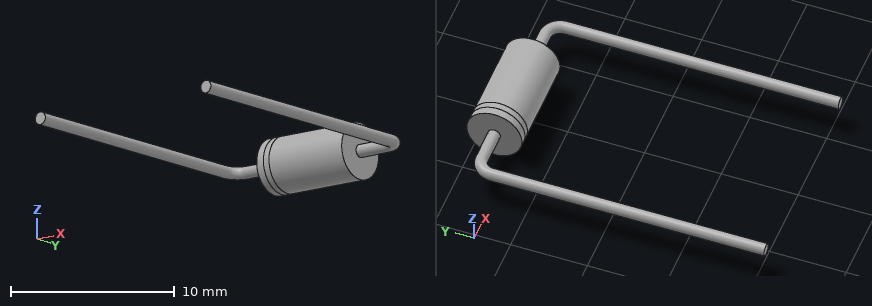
import cadquery as cq

body_diameter = 3.6
body_length = 6.69
lead_diameter = 0.8
lead_pitch = 13.0
bend_radius = 1.0
overall_depth = 20.7

band_offset = 0.54
band_width = 0.43
band_thickness = 0.1

body_radius = body_diameter / 2
lead_tip_y = body_radius - overall_depth
body_end_x = body_length / 2
band_start_x = -body_end_x + band_offset


def cylinder_along_x(start_x, length, radius):
    return cq.Workplane("YZ").workplane(offset=start_x).circle(radius).extrude(length)


def make_band():
    """Cathode ring, flush with the body surface."""
    outer = cylinder_along_x(band_start_x, band_width, body_radius)
    inner = cylinder_along_x(band_start_x, band_width, body_radius - band_thickness)
    return outer.cut(inner)


def make_body(band):
    """Cylinder with a groove that holds the cathode ring."""
    return cylinder_along_x(-body_end_x, body_length, body_radius).cut(band)


def make_lead(side):
    """Bent round wire from one body end; side is -1 for -X and +1 for +X."""
    leg_x = side * lead_pitch / 2
    bend_start_x = leg_x - side * bend_radius
    bend_middle = (
        bend_start_x + side * bend_radius * 0.5 ** 0.5,
        bend_radius * (0.5 ** 0.5 - 1),
    )
    path = (
        cq.Workplane("XY")
        .moveTo(side * body_end_x, 0)
        .lineTo(bend_start_x, 0)
        .threePointArc(bend_middle, (leg_x, -bend_radius))
        .lineTo(leg_x, lead_tip_y)
    )
    return (
        cq.Workplane("YZ", origin=(side * body_end_x, 0, 0))
        .circle(lead_diameter / 2)
        .sweep(path)
    )


band = make_band()
body = make_body(band)
leads = [make_lead(side) for side in (-1, 1)]

result = cq.Compound.makeCompound([body.val(), band.val(), *[lead.val() for lead in leads]])